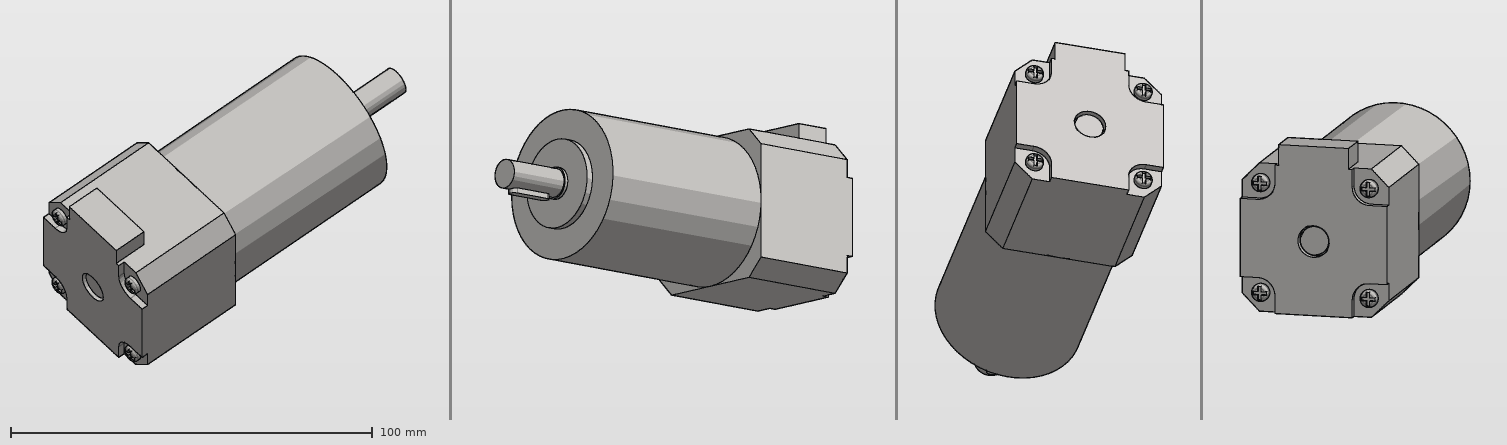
import cadquery as cq


overall_length = 110.5
motor_width = 42.0
motor_length = 34.0
corner_chamfer = 5.0

gearbox_diameter = motor_width
gearbox_length = 55.0
pilot_diameter = 25.0
pilot_height = 2.0
collar_diameter = 9.0
collar_height = 1.0
shaft_diameter = 8.1

key_length = 14.0
key_width = 3.0
key_top_height = 5.2
key_end_gap = 2.0

connector_width = 20.0
connector_height = 5.9
connector_length = 10.1

pocket_side = 10.0
pocket_depth = 2.0
pocket_radius = 5.0

screw_spacing = 31.0
screw_diameter = 5.0
screw_height = pocket_depth
screw_rounding = 1.0
cross_length = 4.0
cross_width = 1.0
cross_depth = 1.0

bore_diameter = collar_diameter
bore_depth = 2.0
rear_shaft_setback = 1.0

gearbox_front = motor_length + gearbox_length
pilot_front = gearbox_front + pilot_height
collar_front = pilot_front + collar_height

half_width = motor_width / 2


def cylinder_along_y(diameter, y_start, y_end):
    """Round bar on the shaft axis between two Y positions."""
    return cq.Workplane("XZ", origin=(0, y_start, 0)).circle(diameter / 2).extrude(y_start - y_end)


def box_along_y(width, height, y_start, y_end):
    """Rectangular bar centred on the shaft axis between two Y positions."""
    return cq.Workplane("XZ", origin=(0, y_start, 0)).rect(width, height).extrude(y_start - y_end)


def make_motor():
    """Square motor housing with its four long edges chamfered."""
    housing = box_along_y(motor_width, motor_width, 0, motor_length)
    return housing.edges("|Y").chamfer(corner_chamfer)


def make_connector():
    """Connector block rising from the rear end of the motor's top side."""
    block_height = half_width + connector_height
    block = box_along_y(connector_width, block_height, 0, connector_length)
    return block.translate((0, 0, block_height / 2))


def make_corner_pocket(x_side, z_side):
    """Cutter for one corner pocket, rounded at its inner corner."""
    cutter = box_along_y(2 * pocket_side, 2 * pocket_side, 0, pocket_depth)
    cutter = cutter.edges("|Y").fillet(pocket_radius)
    return cutter.translate((x_side * half_width, 0, z_side * half_width))


def make_screw_head(x_side, z_side):
    """Rounded screw head with a cross recess, standing on its pocket floor."""
    head = cylinder_along_y(screw_diameter, pocket_depth - screw_height, pocket_depth)
    head = head.faces("<Y").edges().fillet(screw_rounding)
    cross_floor = pocket_depth - screw_height + cross_depth
    head = head.cut(box_along_y(cross_length, cross_width, 0, cross_floor))
    head = head.cut(box_along_y(cross_width, cross_length, 0, cross_floor))
    return head.translate((x_side * screw_spacing / 2, 0, z_side * screw_spacing / 2))


def make_output_side():
    """Gearbox, pilot, collar and output shaft."""
    gearbox = cylinder_along_y(gearbox_diameter, motor_length, gearbox_front)
    pilot = cylinder_along_y(pilot_diameter, gearbox_front, pilot_front)
    collar = cylinder_along_y(collar_diameter, pilot_front, collar_front)
    shaft = cylinder_along_y(shaft_diameter, collar_front, overall_length)
    return gearbox.union(pilot).union(collar).union(shaft)


def make_key():
    """Key with full-round ends, reaching from the shaft axis out toward -Z."""
    key_centre = overall_length - key_end_gap - key_length / 2
    profile = cq.Workplane("XY", origin=(0, key_centre, 0)).slot2D(key_length, key_width, 90)
    return profile.extrude(-key_top_height)


def make_rear_bore():
    """Cutter for the rear bore, leaving the shaft end standing inside it."""
    bore = cylinder_along_y(bore_diameter, 0, bore_depth)
    shaft_end = cylinder_along_y(shaft_diameter, rear_shaft_setback, bore_depth)
    return bore.cut(shaft_end)


corners = [(x_side, z_side) for x_side in (-1, 1) for z_side in (-1, 1)]

result = make_motor().union(make_connector())
for x_side, z_side in corners:
    result = result.cut(make_corner_pocket(x_side, z_side))
    result = result.union(make_screw_head(x_side, z_side))
result = result.cut(make_rear_bore())
result = result.union(make_output_side()).union(make_key())